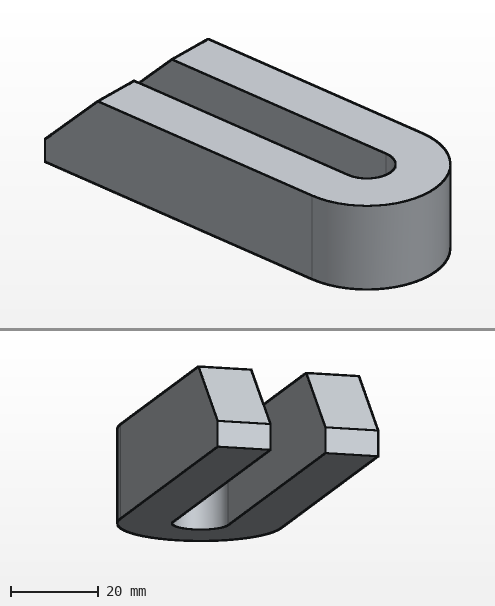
import cadquery as cq

length = 100.0
width = 38.0
height = 22.0
slot_width = 13.0
nose_height = 6.0
nose_run = height - nose_height

end_radius = width / 2
slot_radius = slot_width / 2
arc_center_x = length - end_radius


def rounded_bar(radius):
    """Bar from x = 0 with a round end concentric with the clamp's heel."""
    return (
        cq.Workplane("XY")
        .moveTo(0, -radius)
        .lineTo(arc_center_x, -radius)
        .threePointArc((arc_center_x + radius, 0), (arc_center_x, radius))
        .lineTo(0, radius)
        .close()
        .extrude(height)
    )


body = rounded_bar(end_radius).cut(rounded_bar(slot_radius))

nose_wedge = (
    cq.Workplane("XZ")
    .polyline([(0, nose_height), (nose_run, height), (0, height)])
    .close()
    .extrude(width / 2, both=True)
)

result = body.cut(nose_wedge)